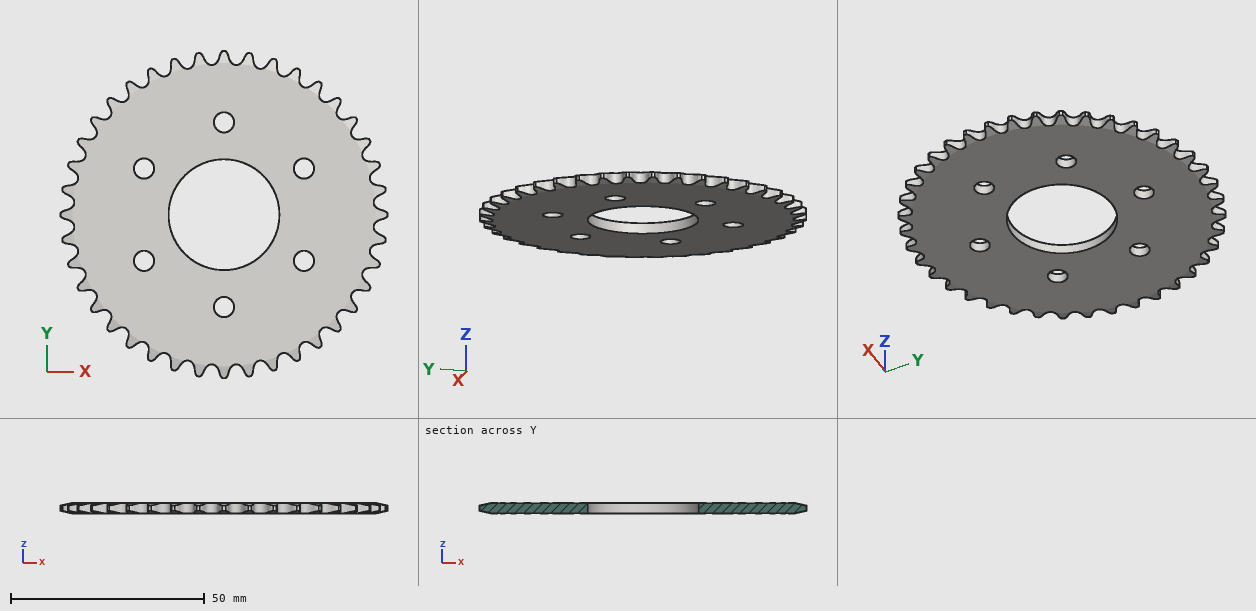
import cadquery as cq
import math

outer_diameter = 84.55
thickness = 2.8
tooth_count = 40
roller_diameter = 3.3
seat_radius = 1.7

taper_start_radius = 39.15
tip_thickness = 1.35

bore_diameter = 28.6
bolt_hole_diameter = 5.15
bolt_circle_radius = 23.85
bolt_count = 6

half_tooth_angle = math.pi / tooth_count
chain_pitch = outer_diameter / (0.6 + 1 / math.tan(half_tooth_angle))
pitch_radius = chain_pitch / (2 * math.sin(half_tooth_angle))

seat_end_angle = math.radians(35 + 60 / tooth_count)
working_arc_angle = math.radians(18 - 56 / tooth_count)
working_centre_distance = 0.8 * roller_diameter
topping_centre_distance = 1.4 * roller_diameter


def polar(radius, angle, centre=(0, 0)):
    """Point at a radius and angle (radians) about a centre."""
    return (centre[0] + radius * math.cos(angle), centre[1] + radius * math.sin(angle))


def mirrored(point):
    """Point reflected to the other side of the tooth gap."""
    return (-point[0], point[1])


def make_blank():
    """Turned disc with tapered rim and a central bore."""
    outer_radius = outer_diameter / 2
    bore_radius = bore_diameter / 2
    return (
        cq.Workplane("XZ")
        .polyline([
            (bore_radius, -thickness / 2),
            (taper_start_radius, -thickness / 2),
            (outer_radius, -tip_thickness / 2),
            (outer_radius, tip_thickness / 2),
            (taper_start_radius, thickness / 2),
            (bore_radius, thickness / 2),
        ])
        .close()
        .revolve(360, (0, 0), (0, 1))
    )


def make_gap_cutter():
    """Space between two teeth, centred on +Y; its profile is laid out around the roller centre."""
    seat_bottom = (0, -seat_radius)
    seat_end = polar(seat_radius, -seat_end_angle)

    working_radius = seat_radius + working_centre_distance
    working_centre = polar(working_centre_distance, math.pi - seat_end_angle)
    flank_normal = working_arc_angle - seat_end_angle
    working_mid = polar(working_radius, flank_normal - working_arc_angle / 2, working_centre)
    working_end = polar(working_radius, flank_normal, working_centre)

    topping_centre = polar(topping_centre_distance, -half_tooth_angle)
    topping_radius = (
        (topping_centre[0] - working_end[0]) * math.cos(flank_normal)
        + (topping_centre[1] - working_end[1]) * math.sin(flank_normal)
    )
    topping_start_angle = flank_normal + math.pi
    topping_start = polar(topping_radius, topping_start_angle, topping_centre)

    centre_to_mid_plane = (
        (pitch_radius + topping_centre[1]) * math.sin(half_tooth_angle)
        - topping_centre[0] * math.cos(half_tooth_angle)
    )
    topping_end_angle = math.acos(centre_to_mid_plane / topping_radius) - half_tooth_angle
    topping_mid_angle = (topping_start_angle + topping_end_angle) / 2
    topping_mid = polar(topping_radius, topping_mid_angle, topping_centre)
    topping_end = polar(topping_radius, topping_end_angle, topping_centre)

    return (
        cq.Workplane("XY", origin=(0, pitch_radius, 0))
        .moveTo(*topping_end)
        .threePointArc(topping_mid, topping_start)
        .lineTo(*working_end)
        .threePointArc(working_mid, seat_end)
        .threePointArc(seat_bottom, mirrored(seat_end))
        .threePointArc(mirrored(working_mid), mirrored(working_end))
        .lineTo(*mirrored(topping_start))
        .threePointArc(mirrored(topping_mid), mirrored(topping_end))
        .close()
        .extrude(thickness, both=True)
    )


def cut_tooth_gaps(body):
    """Cut one gap between each pair of teeth, leaving teeth centred on the X and Y axes."""
    gap = make_gap_cutter().val()
    tooth_angle = 360 / tooth_count
    gaps = [
        gap.rotate((0, 0, 0), (0, 0, 1), (index + 0.5) * tooth_angle)
        for index in range(tooth_count)
    ]
    return body.cut(cq.Workplane(cq.Compound.makeCompound(gaps)))


def drill_bolt_holes(body):
    """Ring of through holes, the first one on +Y."""
    holes = (
        cq.Workplane("XY")
        .polarArray(bolt_circle_radius, 90, 360, bolt_count)
        .circle(bolt_hole_diameter / 2)
        .extrude(thickness, both=True)
    )
    return body.cut(holes)


result = drill_bolt_holes(cut_tooth_gaps(make_blank()))